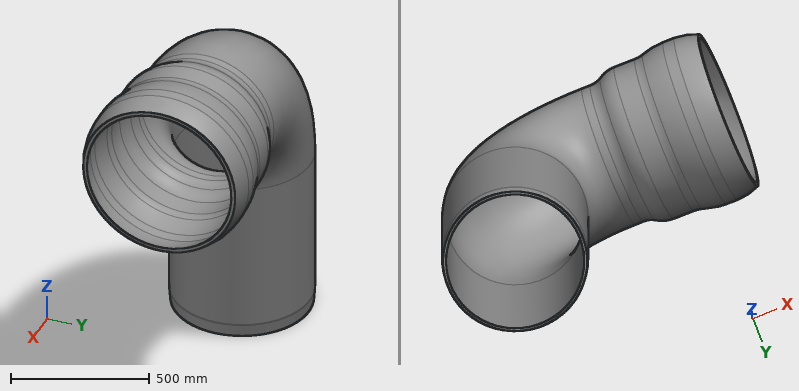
import cadquery as cq
import math

pipe_radius = 530.0 / 2
wall = 15.1

sleeve_radius = 590.0 / 2
bulge_radius = 630.0 / 2
mouth_radius = sleeve_radius

total_height = 1315.0
bend_radius = 365.0
socket_axis_height = total_height - bulge_radius
leg_length = socket_axis_height - bend_radius

taper_length = 50.0
taper_depth = 4.0
taper_blend_radius = 53.0

collar_length = 33.0
flare_concave_length = 43.0
flare_convex_length = 62.0
sleeve_length = 80.0
swell_concave_length = 33.0
swell_convex_length = 85.0
bulge_length = 43.0
total_length_x = 1095.0
mouth_x = total_length_x - pipe_radius


def arc_middle(flat_end, other_end):
    """Middle point of the arc that is level at flat_end and runs to other_end."""
    run = other_end[0] - flat_end[0]
    rise = other_end[1] - flat_end[1]
    arc_radius = math.hypot(run, rise) ** 2 / (2 * abs(rise))
    half_angle = math.atan2(abs(rise), abs(run))
    along = math.copysign(arc_radius * math.sin(half_angle), run)
    across = math.copysign(arc_radius * (1 - math.cos(half_angle)), rise)
    return (flat_end[0] + along, flat_end[1] + across)


def widen(profile, start, concave_length, convex_length, end_radius):
    """Add two arcs with a common tangent that widen the profile; return it and its end point."""
    length = concave_length + convex_length
    joint_radius = start[1] + (end_radius - start[1]) * concave_length / length
    joint = (start[0] + concave_length, joint_radius)
    end = (start[0] + length, end_radius)
    profile = profile.threePointArc(arc_middle(start, joint), joint)
    profile = profile.threePointArc(arc_middle(end, joint), end)
    return profile, end


def make_leg(inset):
    """Straight vertical leg, with its radius reduced by inset."""
    return cq.Workplane("XY").circle(pipe_radius - inset).extrude(leg_length)


def make_bend(inset):
    """Quarter bend from the top of the leg to the socket."""
    return (
        cq.Workplane("XY")
        .workplane(offset=leg_length)
        .circle(pipe_radius - inset)
        .revolve(90, (bend_radius, 0), (bend_radius, 1))
    )


def make_socket(inset):
    """Collar, flare, sleeve, bulge and mouth, with every radius reduced by inset."""
    flare_start = (bend_radius + collar_length, pipe_radius - inset)
    mouth = (mouth_x, mouth_radius - inset)

    profile = (
        cq.Workplane("XZ", origin=(0, 0, socket_axis_height))
        .moveTo(bend_radius, 0)
        .lineTo(bend_radius, pipe_radius - inset)
        .lineTo(*flare_start)
    )
    profile, sleeve_start = widen(
        profile, flare_start, flare_concave_length, flare_convex_length, sleeve_radius - inset
    )
    swell_start = (sleeve_start[0] + sleeve_length, sleeve_start[1])
    profile = profile.lineTo(*swell_start)
    profile, bulge_start = widen(
        profile, swell_start, swell_concave_length, swell_convex_length, bulge_radius - inset
    )
    bulge_end = (bulge_start[0] + bulge_length, bulge_start[1])
    return (
        profile.lineTo(*bulge_end)
        .threePointArc(arc_middle(bulge_end, mouth), mouth)
        .lineTo(mouth_x, 0)
        .close()
        .revolve(360, (0, 0), (1, 0))
    )


def make_taper_cutter():
    """Ring that tapers the outside of the leg's foot and rounds the upper edge of the taper."""
    taper_angle = math.atan2(taper_depth, taper_length)
    blend_reach = taper_blend_radius * math.tan(taper_angle / 2)
    blend_drop = blend_reach * math.cos(taper_angle)
    blend_inset = blend_reach * math.sin(taper_angle)
    blend_top = (pipe_radius, taper_length + blend_reach)
    blend_foot = (pipe_radius - blend_inset, taper_length - blend_drop)
    blend_middle = (
        pipe_radius - taper_blend_radius * (1 - math.cos(taper_angle / 2)),
        blend_top[1] - taper_blend_radius * math.sin(taper_angle / 2),
    )
    ring_radius = pipe_radius + wall
    return (
        cq.Workplane("XZ")
        .moveTo(pipe_radius - taper_depth, 0)
        .lineTo(*blend_foot)
        .threePointArc(blend_middle, blend_top)
        .lineTo(ring_radius, blend_top[1])
        .lineTo(ring_radius, 0)
        .close()
        .revolve(360, (0, 0), (0, 1))
    )


def make_bent_pipe():
    """Hollow bend with a tapered spigot below and a socket at the side."""
    pipe = None
    for make_section in (make_leg, make_bend, make_socket):
        section = make_section(0).cut(make_section(wall))
        pipe = section if pipe is None else pipe.union(section)
    return pipe.cut(make_taper_cutter())


bent_pipe = make_bent_pipe()

result = cq.Compound.makeCompound([bent_pipe.val()])